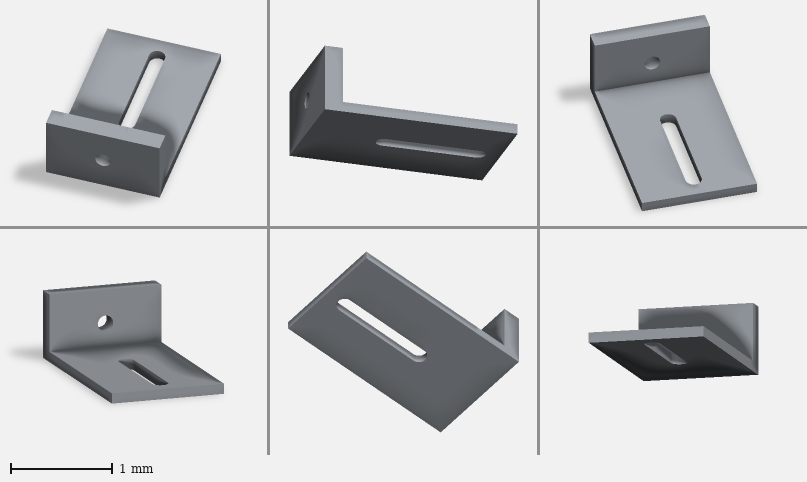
import cadquery as cq

width = 1.18
length = 2.0
height = 0.69

base_thickness = 0.105
wall_thickness = 0.188

hole_diameter = 0.16
slot_width = 0.165
slot_length = 1.135
slot_end_margin = 0.148


def l_bracket():
    """L-profile extruded across the width, with the wall along the -Y edge."""
    profile = (
        cq.Workplane("YZ")
        .moveTo(0, 0)
        .lineTo(length, 0)
        .lineTo(length, base_thickness)
        .lineTo(wall_thickness, base_thickness)
        .lineTo(wall_thickness, height)
        .lineTo(0, height)
        .close()
    )
    return profile.extrude(width / 2, both=True)


def wall_hole():
    """Cylinder through the wall, centred on its outer face."""
    return (
        cq.Workplane("XZ")
        .center(0, height / 2)
        .circle(hole_diameter / 2)
        .extrude(-wall_thickness)
    )


def base_slot():
    """Round-ended slot through the base, running along Y."""
    slot_center_y = length - slot_end_margin - slot_length / 2
    return (
        cq.Workplane("XY")
        .center(0, slot_center_y)
        .slot2D(slot_length, slot_width, 90)
        .extrude(base_thickness)
    )


result = l_bracket().cut(wall_hole()).cut(base_slot())